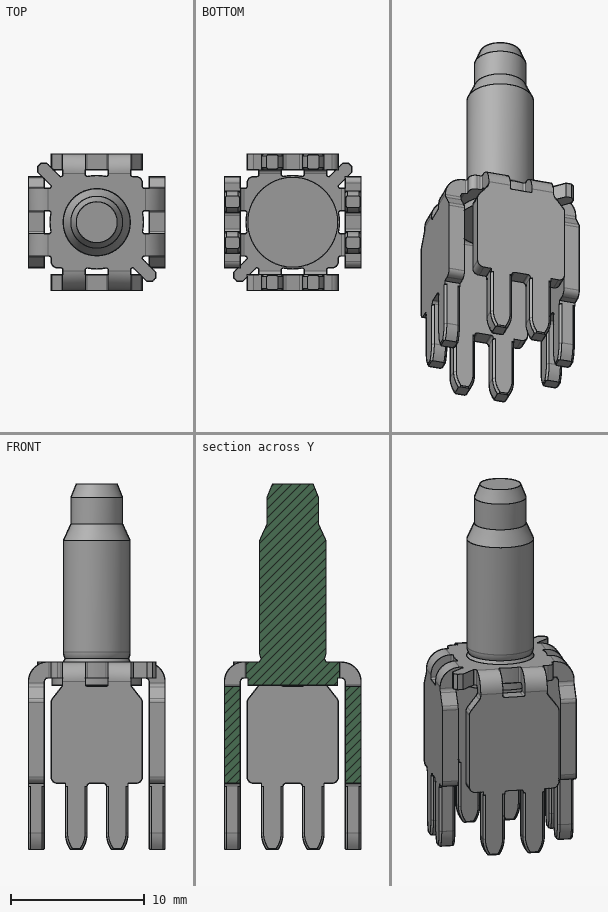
import cadquery as cq

total_height = 27.3
plate_top = 14.0
thickness = 1.2
plate_bottom = plate_top - thickness

wing_outer = 5.1
wing_inner = wing_outer - thickness
wing_half_width = 3.4
bend_inner_radius = 0.27
bend_outer_radius = bend_inner_radius + thickness
wing_top = plate_top - bend_outer_radius
wing_bottom = 4.95
shoulder_top = 12.25
shoulder_bottom = 11.15
wing_corner_radius = 0.5

strap_inner = 0.85
strap_outer = 2.55
strap_width = strap_outer - strap_inner
strap_center = (strap_outer + strap_inner) / 2
bend_start = wing_outer - bend_outer_radius
window_bottom = 12.2
relief_radius = 0.15

leg_inner = 0.7
leg_outer = 2.35
leg_half_width = (leg_outer - leg_inner) / 2
leg_center = (leg_outer + leg_inner) / 2
leg_root_radius = 0.2
leg_chamfer = 0.16
leg_chamfer_top = 4.7
leg_end_chamfer = 0.08
tip_start = 1.25
tip_half_width = 0.45

plate_half_width = 3.4
plate_corner_radius = 0.5
plate_disc_radius = 3.5
arm_width = 0.95
arm_reach = 6.05
arm_chamfer = 0.3
arm_angle = 135

disc_radius = 3.35
disc_bottom = 12.25

stem_diameter = 5.0
stem_radius = stem_diameter / 2
neck_radius = 2.38
flare_radius = 2.5
neck_height = 14.25
stem_start = 14.75
taper_start = 23.07
nose_radius = 1.95
nose_start = 24.3
nose_chamfer_start = 26.3
nose_tip_radius = 1.53

tolerance = 0.003


def turn_about_axis(shape, angle):
    return shape.rotate((0, 0, 0), (0, 0, 1), angle)


def plate_slab(length, width):
    """Centred rectangular slab filling the plate's thickness."""
    slab_height = (plate_bottom + plate_top) / 2
    return cq.Workplane("XY", origin=(0, 0, slab_height)).box(length, width, thickness)


def cylinder(radius, bottom, top):
    return cq.Workplane("XY", origin=(0, 0, bottom)).circle(radius).extrude(top - bottom)


def is_strap_root(edge):
    """True for the concave corners where a strap leaves the plate edge."""
    center = edge.Center()
    near, far = sorted((abs(center.x), abs(center.y)))
    beside_strap = min(abs(near - strap_inner), abs(near - strap_outer)) < tolerance
    return beside_strap and far < plate_half_width + tolerance


def make_plate():
    """Square plate with a round edge in the windows, strap tabs and two key arms."""
    side = 2 * plate_half_width
    plate = plate_slab(side, side).edges("|Z").fillet(plate_corner_radius)
    for angle in (0, 90):
        plate = plate.cut(turn_about_axis(plate_slab(side, 2 * strap_inner), angle))
    plate = plate.union(cylinder(plate_disc_radius, plate_bottom, plate_top))

    for angle in (0, 90):
        for offset in (-strap_center, strap_center):
            tabs = plate_slab(2 * bend_start, strap_width).translate((0, offset, 0))
            plate = plate.union(turn_about_axis(tabs, angle))
    plate = plate.clean().edges("|Z").filter(is_strap_root).fillet(relief_radius)

    arms = plate_slab(2 * arm_reach, arm_width).edges("|Z").chamfer(arm_chamfer)
    return plate.union(turn_about_axis(arms, arm_angle))


def wing_plane(x=0):
    """Sketch plane on the inner face of the -Y wing, extruding outward."""
    return cq.Workplane("XZ", origin=(x, -wing_inner, 0))


def make_leg(center):
    """Chamfered leg of the -Y wing with a narrowing round tip."""
    inset = leg_half_width - tip_half_width
    tip_arc_radius = (inset**2 + tip_start**2) / (2 * inset)
    leg = (
        wing_plane(center)
        .moveTo(-leg_half_width, leg_chamfer_top)
        .lineTo(-leg_half_width, tip_start)
        .radiusArc((-tip_half_width, 0), -tip_arc_radius)
        .lineTo(tip_half_width, 0)
        .radiusArc((leg_half_width, tip_start), -tip_arc_radius)
        .lineTo(leg_half_width, leg_chamfer_top)
        .close()
        .extrude(thickness)
    )
    leg = leg.faces("<Y or >Y").edges("not (>Z or <Z)").chamfer(leg_chamfer)
    return leg.faces("<Z").edges("<Y or >Y").chamfer(leg_end_chamfer)


def make_panel():
    """Flat part of the -Y wing, with sloped shoulders."""
    right_side = [
        (strap_outer, wing_top),
        (strap_outer, shoulder_top),
        (wing_half_width, shoulder_bottom),
        (wing_half_width, wing_bottom),
    ]
    left_side = [(-x, z) for x, z in reversed(right_side)]
    panel = wing_plane().polyline(right_side + left_side).close().extrude(thickness)
    return panel.edges("|Y").edges("not >Z").fillet(wing_corner_radius)


def make_bend():
    """Quarter-round bend joining the plate to the -Y wing."""
    return (
        cq.Workplane("YZ", origin=(-strap_outer, 0, 0))
        .moveTo(-bend_start, plate_top)
        .radiusArc((-wing_outer, wing_top), -bend_outer_radius)
        .lineTo(-wing_inner, wing_top)
        .radiusArc((-bend_start, plate_bottom), bend_inner_radius)
        .close()
        .extrude(2 * strap_outer)
    )


def make_window():
    """Cutter for the opening between the two straps of the -Y wing."""
    return (
        cq.Workplane("XY", origin=(0, -wing_outer, window_bottom))
        .box(2 * strap_inner, bend_outer_radius, plate_top - window_bottom, centered=(True, False, False))
        .edges("|Y and <Z")
        .fillet(relief_radius)
    )


def make_leg_roots():
    """Square-edged tops of both legs, with rounded corners in the gap between them."""
    root_height = wing_bottom - leg_chamfer_top
    root_middle = (wing_bottom + leg_chamfer_top) / 2
    roots = wing_plane().center(0, root_middle).rect(2 * leg_outer, root_height).extrude(thickness)
    gap = wing_plane().center(0, root_middle).rect(2 * leg_inner, root_height).extrude(thickness)
    return roots.cut(gap.edges("|Y and >Z").fillet(leg_root_radius))


def make_wing():
    """Complete wing on the -Y side."""
    wing = make_panel().union(make_bend()).cut(make_window()).union(make_leg_roots())
    for center in (-leg_center, leg_center):
        wing = wing.union(make_leg(center))
    return wing


def make_stem():
    """Turned stem with a necked foot, a tapered nose and a chamfered tip."""
    neck_depth = stem_radius - neck_radius
    neck_rise = stem_start - neck_height
    neck_arc_radius = (neck_depth**2 + neck_rise**2) / (2 * neck_depth)
    return (
        cq.Workplane("XZ")
        .moveTo(0, plate_bottom)
        .lineTo(flare_radius, plate_bottom)
        .lineTo(flare_radius, plate_top)
        .lineTo(neck_radius, neck_height)
        .radiusArc((stem_radius, stem_start), -neck_arc_radius)
        .lineTo(stem_radius, taper_start)
        .lineTo(nose_radius, nose_start)
        .lineTo(nose_radius, nose_chamfer_start)
        .lineTo(nose_tip_radius, total_height)
        .lineTo(0, total_height)
        .close()
        .revolve(360, (0, 0, 0), (0, 1, 0))
    )


result = make_plate().union(make_stem())
result = result.union(cylinder(disc_radius, disc_bottom, plate_bottom))
wing = make_wing()
for wing_angle in (0, 90, 180, 270):
    result = result.union(turn_about_axis(wing, wing_angle))